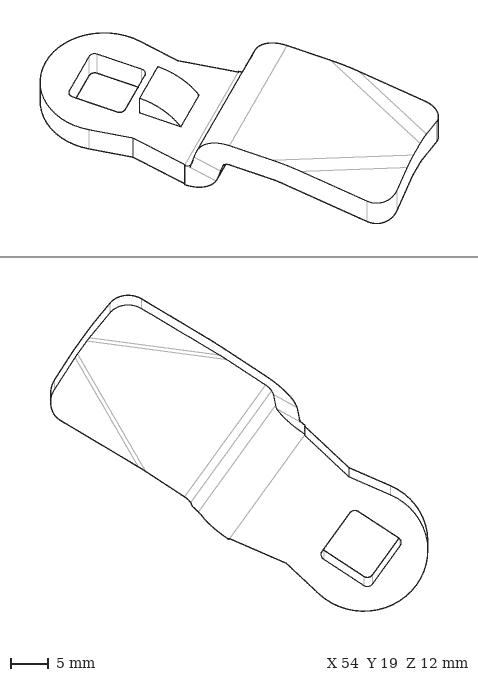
import cadquery as cq
import math

length = 54
width = 19.0
height = 12.0
thickness = 4.0

head_radius = 8.55
waist_x = 16.0
flare_angle = math.radians(10)
hole_x = 8.95
hole_side = 8.1
hole_corner_radius = 0.8

lug_x = 15.0
lug_size = 6.0
lug_height = 3.0

bend_x = 24.95
neck_angle = math.radians(75)
root_fillet = 1.0
upper_inner_radius = 1.0
upper_outer_radius = upper_inner_radius + thickness

fold_start_x = 37.2
fold_line_angle = 26.6
fold_angle = math.radians(19.5)
fold_outer_radius = 5.55
fold_inner_radius = fold_outer_radius - thickness
paddle_corner_radius = 3.0

half_width = width / 2
flare_slope = math.tan(flare_angle)
tangent_x = head_radius * (1 + math.sin(flare_angle))
tangent_y = head_radius * math.cos(flare_angle)
waist_y = tangent_y - (waist_x - tangent_x) * flare_slope
bend_y = waist_y + (bend_x - waist_x) * flare_slope

along = (math.cos(neck_angle), math.sin(neck_angle))
outward = (math.sin(neck_angle), -math.cos(neck_angle))

neck_rise = height - thickness - upper_outer_radius * (1 - math.cos(neck_angle))
neck_length = neck_rise / along[1]
flare_length = (half_width - bend_y) / flare_slope


def neck_point(distance, depth):
    """Point in the XZ plane, measured along the neck and down through its thickness."""
    x = bend_x + distance * along[0] + depth * outward[0]
    z = thickness + distance * along[1] + depth * outward[1]
    return (x, z)


def across(profile, half):
    """Extrude a closed XZ profile symmetrically about Y = 0."""
    return profile.extrude(half, both=True)


def make_head():
    outline = (
        cq.Workplane("XY")
        .moveTo(tangent_x, tangent_y)
        .threePointArc((0, 0), (tangent_x, -tangent_y))
        .lineTo(waist_x, -waist_y)
        .lineTo(bend_x, -bend_y)
        .lineTo(bend_x, bend_y)
        .lineTo(waist_x, waist_y)
        .close()
    )
    hole = (
        cq.Workplane("XY")
        .center(hole_x, 0)
        .rect(hole_side, hole_side)
        .extrude(thickness)
        .edges("|Z")
        .fillet(hole_corner_radius)
    )
    return outline.extrude(thickness).cut(hole)


def make_lug():
    crown_radius = (lug_size**2 + lug_height**2) / (2 * lug_height)
    half_sweep = math.asin(lug_size / crown_radius) / 2
    top = thickness + lug_height
    crown_middle = (
        lug_x + crown_radius * math.sin(half_sweep),
        top - crown_radius * (1 - math.cos(half_sweep)),
    )
    profile = (
        cq.Workplane("XZ")
        .moveTo(lug_x, thickness)
        .lineTo(lug_x, top)
        .threePointArc(crown_middle, (lug_x + lug_size, thickness))
        .close()
    )
    return across(profile, lug_size / 2)


root_setback = root_fillet * math.tan(neck_angle / 2)
root_center = (bend_x - root_setback, thickness + root_fillet)


def root_arc_middle(radius):
    return (
        root_center[0] + radius * math.sin(neck_angle / 2),
        root_center[1] - radius * math.cos(neck_angle / 2),
    )


def make_lower_bend():
    profile = (
        cq.Workplane("XZ")
        .moveTo(root_center[0], thickness)
        .lineTo(root_center[0], 0)
        .threePointArc(root_arc_middle(root_fillet + thickness), neck_point(root_setback, thickness))
        .lineTo(*neck_point(root_setback, 0))
        .threePointArc(root_arc_middle(root_fillet), (root_center[0], thickness))
        .close()
    )
    return across(profile, bend_y)


def make_bend_trim():
    """Sharp outer corner where head and neck run past the outer radius of the lower bend."""
    sharp_corner = neck_point(-thickness * math.tan(neck_angle / 2), thickness)
    profile = (
        cq.Workplane("XZ")
        .moveTo(root_center[0], 0)
        .threePointArc(root_arc_middle(root_fillet + thickness), neck_point(root_setback, thickness))
        .lineTo(*sharp_corner)
        .close()
    )
    return across(profile, half_width)


def make_neck():
    origin_x, origin_z = neck_point(0, 0)
    plane = cq.Plane(
        origin=(origin_x, 0, origin_z),
        xDir=(along[0], 0, along[1]),
        normal=(outward[0], 0, outward[1]),
    )
    outline = [
        (0, -bend_y),
        (flare_length, -half_width),
        (neck_length, -half_width),
        (neck_length, half_width),
        (flare_length, half_width),
        (0, bend_y),
    ]
    return cq.Workplane(plane).polyline(outline).close().extrude(thickness)


bend_center = neck_point(neck_length, upper_outer_radius)


def make_upper_bend():
    center_x, center_z = bend_center

    def arc_middle(radius):
        return (
            center_x - radius * math.sin(neck_angle / 2),
            center_z + radius * math.cos(neck_angle / 2),
        )

    profile = (
        cq.Workplane("XZ")
        .moveTo(*neck_point(neck_length, 0))
        .threePointArc(arc_middle(upper_outer_radius), (center_x, height))
        .lineTo(center_x, height - thickness)
        .threePointArc(arc_middle(upper_inner_radius), neck_point(neck_length, thickness))
        .close()
    )
    return across(profile, half_width)


def make_folded_corner():
    """Fold-down strip on the +Y side, reaching past the paddle outline."""
    center_z = height - fold_outer_radius

    def arc_point(radius, angle):
        return (radius * math.sin(angle), center_z + radius * math.cos(angle))

    def flap_point(radius):
        x, z = arc_point(radius, fold_angle)
        return (x + width * math.cos(fold_angle), z - width * math.sin(fold_angle))

    profile = (
        cq.Workplane("XZ")
        .moveTo(0, height)
        .threePointArc(
            arc_point(fold_outer_radius, fold_angle / 2),
            arc_point(fold_outer_radius, fold_angle),
        )
        .lineTo(*flap_point(fold_outer_radius))
        .lineTo(*flap_point(fold_inner_radius))
        .lineTo(*arc_point(fold_inner_radius, fold_angle))
        .threePointArc(arc_point(fold_inner_radius, fold_angle / 2), (0, height - thickness))
        .close()
    )
    return (
        across(profile, length)
        .rotate((0, 0, 0), (0, 0, 1), 90 - fold_line_angle)
        .translate((fold_start_x, half_width, 0))
    )


def make_paddle():
    start_x = bend_center[0]
    paddle_length = length - start_x
    outline = (
        cq.Workplane("XY")
        .center(start_x + paddle_length / 2, 0)
        .rect(paddle_length, width)
        .extrude(height)
        .edges("|Z and >X")
        .fillet(paddle_corner_radius)
    )
    tip_y = half_width - (length - fold_start_x) * math.tan(math.radians(fold_line_angle))
    flat = (
        cq.Workplane("XY")
        .workplane(offset=height - thickness)
        .polyline([
            (start_x, -half_width),
            (fold_start_x, -half_width),
            (length, -tip_y),
            (length, tip_y),
            (fold_start_x, half_width),
            (start_x, half_width),
        ])
        .close()
        .extrude(thickness)
    )
    corner = make_folded_corner().intersect(outline)
    return flat.union(corner).union(corner.mirror("XZ"))


result = (
    make_head()
    .union(make_lug())
    .union(make_lower_bend())
    .union(make_neck())
    .cut(make_bend_trim())
    .union(make_upper_bend())
    .union(make_paddle())
)